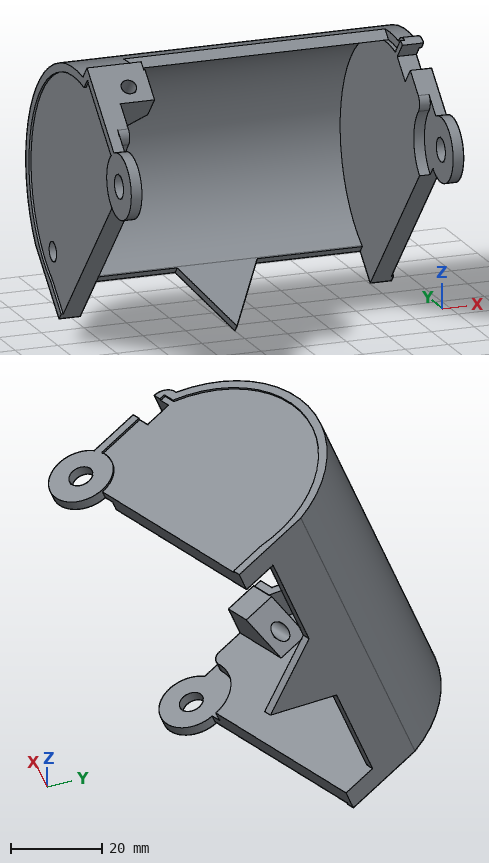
import cadquery as cq
import math

tilt = 48.0

length = 78.0
shell_radius = 29.5
shell_thickness = 2.0
bore_radius = shell_radius - shell_thickness
flat_u = 29.0
inner_flat_u = flat_u - shell_thickness
open_face_v = 13.75
step_v = -15.4
inner_step_v = step_v + shell_thickness

wall_thickness = 5.0
rim_height = 0.5
shell_end_v = 5.5

window_u = 20.0
window_start_x = 12.7
window_end_x = 74.0

pivot_u = 26.0
pivot_v = 13.5
lug_radius = 7.5
lug_hole_diameter = 5.5
lug_thickness = wall_thickness / 2
clearance_radius = 10.0
clearance_fillet = 2.5

block_end_x = 13.0
block_end_v = -5.5
block_tip_u = 22.8
block_root_u = block_tip_u - (block_end_x - wall_thickness)
screw_hole_diameter = 3.5
screw_hole_x = 8.1
screw_hole_v = (inner_step_v + block_end_v) / 2

notch_floor_u = 24.3
notch_start_v = -12.0
notch_end_v = block_end_v
lip_radius = notch_start_v - step_v

pin_hole_diameter = 4.5
pin_hole_u = -22.0
pin_hole_v = 0.7
pin_hole_end_x = 3.0

tab_tip_v = 21.8
tab_height = tab_tip_v - shell_end_v
tab_half_width = tab_height / math.sqrt(3)

margin = 10.0


def profile_plane(x):
    """Plane across the drum at x, with local axes u and v."""
    angle = math.radians(tilt)
    u_axis = (0, -math.cos(angle), math.sin(angle))
    normal = (1, 0, 0)
    return cq.Plane(origin=(x, 0, 0), xDir=u_axis, normal=normal)


def sketch(x):
    """Workplane for drawing in u and v at x."""
    return cq.Workplane(profile_plane(x))


def box(x0, x1, u0, u1, v0, v1):
    """Block between two corners given along X, u and v."""
    return (
        sketch(x0)
        .center((u0 + u1) / 2, (v0 + v1) / 2)
        .rect(u1 - u0, v1 - v0)
        .extrude(x1 - x0)
    )


def cylinder(x0, x1, u, v, radius):
    """Cylinder along X centred at u, v."""
    return sketch(x0).center(u, v).circle(radius).extrude(x1 - x0)


def drum(x0, x1, radius, bottom_u, bottom_v, top_u, step):
    """Solid drum: bottom flat up to bottom_v, round back, then a step up to a flat top."""
    return (
        sketch(x0)
        .moveTo(-bottom_u, open_face_v)
        .lineTo(-bottom_u, bottom_v)
        .threePointArc((0, -radius), (math.sqrt(radius**2 - step**2), step))
        .lineTo(top_u, step)
        .lineTo(top_u, open_face_v)
        .close()
        .extrude(x1 - x0)
    )


def outer_drum(x0, x1):
    """Outside of the shell; its lower flat cuts off the round before the lowest point."""
    bottom_v = -math.sqrt(shell_radius**2 - flat_u**2)
    return drum(x0, x1, shell_radius, flat_u, bottom_v, flat_u, step_v)


def inner_drum(x0, x1, top_u):
    """Inside of the shell; its round carries on past the lowest point to meet the flat."""
    bottom_v = math.sqrt(bore_radius**2 - inner_flat_u**2)
    return drum(x0, x1, bore_radius, inner_flat_u, bottom_v, top_u, inner_step_v)


def make_shell():
    """Curved shell over the full length, cut back between the walls and opened by the window."""
    shell = outer_drum(0, length).cut(inner_drum(0, length, flat_u + margin))
    mouth_start_x = wall_thickness
    mouth_end_x = length - wall_thickness
    far_u = flat_u + margin
    far_v = open_face_v + margin
    mouth = box(mouth_start_x, mouth_end_x, -far_u, far_u, shell_end_v, far_v)
    window = box(window_start_x, window_end_x, window_u, far_u, -shell_radius, shell_end_v)
    return shell.cut(mouth).cut(window)


def make_wall(outside_x, inward):
    """End wall, sunk below the shell rim, with its pivot lug and clearance recess.

    inward is +1 or -1: the direction along X from the outside into the drum.
    """

    def span(start, end):
        return sorted((outside_x + inward * start, outside_x + inward * end))

    plate = inner_drum(*span(0, wall_thickness), flat_u)
    clearance = cylinder(*span(lug_thickness, wall_thickness), pivot_u, pivot_v, clearance_radius)
    plate = plate.cut(clearance)

    corner_v = pivot_v - math.sqrt(clearance_radius**2 - (flat_u - pivot_u) ** 2)
    corner_x = sum(span(lug_thickness, wall_thickness)) / 2
    corner = profile_plane(corner_x).toWorldCoords((flat_u, corner_v))
    plate = plate.edges(cq.selectors.NearestToPointSelector(corner.toTuple())).fillet(clearance_fillet)

    recess = inner_drum(*span(0, rim_height), inner_flat_u)
    lug = cylinder(*span(0, lug_thickness), pivot_u, pivot_v, lug_radius)
    lug_hole = cylinder(*span(0, lug_thickness), pivot_u, pivot_v, lug_hole_diameter / 2)
    return plate.cut(recess).union(lug).cut(lug_hole)


def make_screw_block():
    """Block beside the top flat, carried on the wall by a 45 degree gusset."""
    origin = profile_plane(0).toWorldCoords((0, inner_step_v))
    v_axis = profile_plane(0).yDir
    plane = cq.Plane(origin=origin, xDir=(1, 0, 0), normal=v_axis)
    return (
        cq.Workplane(plane)
        .moveTo(wall_thickness, flat_u)
        .lineTo(block_end_x, flat_u)
        .lineTo(block_end_x, block_tip_u)
        .lineTo(wall_thickness, block_root_u)
        .close()
        .extrude(block_end_v - inner_step_v)
    )


def make_screw_hole():
    """Hole along u, through the block and its gusset."""
    start = profile_plane(screw_hole_x).toWorldCoords((flat_u, screw_hole_v))
    inward = profile_plane(0).xDir.multiply(-1)
    depth = flat_u - block_root_u
    return cq.Workplane(cq.Solid.makeCylinder(screw_hole_diameter / 2, depth, start, inward))


def make_latch_cut():
    """Notch in the wall at X = length, and the rounding of the lip left beside it."""
    start_x = length - wall_thickness
    notch = box(start_x, length, notch_floor_u, flat_u + margin, notch_start_v, notch_end_v)
    lip_u = flat_u - lip_radius
    lip_corner = box(start_x, length, lip_u, flat_u, step_v, notch_start_v)
    lip_round = cylinder(start_x, length, lip_u, notch_start_v, lip_radius)
    return notch.union(lip_corner.cut(lip_round))


def make_tab():
    """Pointed tab in the plane of the lower flat."""
    origin = profile_plane(length / 2).toWorldCoords((-flat_u, shell_end_v))
    u_axis = profile_plane(0).xDir
    plane = cq.Plane(origin=origin, xDir=(1, 0, 0), normal=u_axis)
    return (
        cq.Workplane(plane)
        .moveTo(-tab_half_width, 0)
        .lineTo(tab_half_width, 0)
        .lineTo(0, -tab_height)
        .close()
        .extrude(shell_thickness)
    )


def make_pin_hole():
    """Blind hole from the outside of the wall at X = 0."""
    return cylinder(0, pin_hole_end_x, pin_hole_u, pin_hole_v, pin_hole_diameter / 2)


result = (
    make_shell()
    .union(make_wall(0, 1))
    .union(make_wall(length, -1))
    .union(make_screw_block())
    .union(make_tab())
    .cut(make_screw_hole())
    .cut(make_latch_cut())
    .cut(make_pin_hole())
)